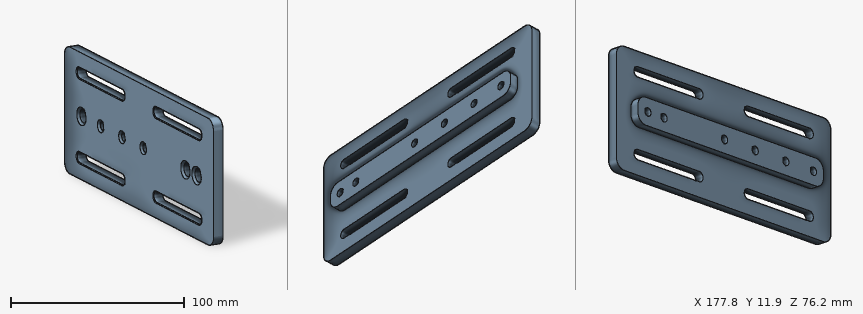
import cadquery as cq

PLATE_LENGTH = 177.8
PLATE_HEIGHT = 76.2
PLATE_THICKNESS = 6.35
CORNER_RADIUS = 6.35

RAIL_LENGTH = 153.67
RAIL_HEIGHT = 17.145
RAIL_THICKNESS = 5.59

SLOT_WIDTH = 6.35
SLOT_LENGTH = 57.15
SLOT_CENTER_X = 45.72
SLOT_CENTER_Z = 25.4
SLOT_CHAMFER = 0.5
CHAMFER_ANGLE = 45

PLAIN_HOLE_DIAMETER = 5.1
PLAIN_HOLE_MOUTH_DIAMETER = 7.6
PLAIN_HOLE_PITCH = 25.4
PLAIN_HOLE_START_X = -45.72
PLAIN_HOLE_COUNT = 3

BORED_HOLE_XS = (-68.58, 55.3, 68.58)
BORED_HOLE_DIAMETER = 5.1
BORE_DIAMETER = 8.2
BORE_MOUTH_DIAMETER = 10.9
BORE_DEPTH = 5.0

TOTAL_THICKNESS = PLATE_THICKNESS + RAIL_THICKNESS
FRONT_Y = -TOTAL_THICKNESS / 2
PLATE_BACK_Y = FRONT_Y + PLATE_THICKNESS


def workplane_at(y):
    """XZ sketch plane at the given Y; positive extrusion runs toward +Y, local y is -Z."""
    return cq.Workplane(cq.Plane(origin=(0, y, 0), xDir=(1, 0, 0), normal=(0, 1, 0)))


def rounded_block(length, height, thickness, start_y):
    """Block with its four corners rounded in the XZ plane."""
    block = workplane_at(start_y).rect(length, height).extrude(thickness)
    return block.edges("|Y").fillet(CORNER_RADIUS)


def cylinder(x, diameter, depth):
    """Centerline cylinder entering from the front face."""
    return workplane_at(FRONT_Y).center(x, 0).circle(diameter / 2).extrude(depth)


def mouth_cone(x, mouth_diameter, hole_diameter):
    """45-degree cone that breaks the front edge of a hole."""
    depth = (mouth_diameter - hole_diameter) / 2
    cone = cq.Solid.makeCone(
        mouth_diameter / 2, hole_diameter / 2, depth, cq.Vector(x, FRONT_Y, 0), cq.Vector(0, 1, 0)
    )
    return cq.Workplane(cone)


def plain_hole(x):
    """Through hole with a chamfered mouth."""
    hole = cylinder(x, PLAIN_HOLE_DIAMETER, TOTAL_THICKNESS)
    return hole.union(mouth_cone(x, PLAIN_HOLE_MOUTH_DIAMETER, PLAIN_HOLE_DIAMETER))


def bored_hole(x):
    """Through hole with a counterbore whose mouth is chamfered."""
    hole = cylinder(x, BORED_HOLE_DIAMETER, TOTAL_THICKNESS)
    hole = hole.union(cylinder(x, BORE_DIAMETER, BORE_DEPTH))
    return hole.union(mouth_cone(x, BORE_MOUTH_DIAMETER, BORE_DIAMETER))


def slot(x, z):
    """Slot through the plate with a chamfered front edge."""
    sketch = workplane_at(FRONT_Y).center(x, -z)
    straight = sketch.slot2D(SLOT_LENGTH, SLOT_WIDTH).extrude(PLATE_THICKNESS)
    mouth_length = SLOT_LENGTH + 2 * SLOT_CHAMFER
    mouth_width = SLOT_WIDTH + 2 * SLOT_CHAMFER
    mouth = sketch.slot2D(mouth_length, mouth_width).extrude(SLOT_CHAMFER, taper=CHAMFER_ANGLE)
    return straight.union(mouth)


plate = rounded_block(PLATE_LENGTH, PLATE_HEIGHT, PLATE_THICKNESS, FRONT_Y)
rail = rounded_block(RAIL_LENGTH, RAIL_HEIGHT, RAIL_THICKNESS, PLATE_BACK_Y)
part = plate.union(rail)

for side_x in (-1, 1):
    for side_z in (-1, 1):
        part = part.cut(slot(side_x * SLOT_CENTER_X, side_z * SLOT_CENTER_Z))

for index in range(PLAIN_HOLE_COUNT):
    part = part.cut(plain_hole(PLAIN_HOLE_START_X + index * PLAIN_HOLE_PITCH))

for hole_x in BORED_HOLE_XS:
    part = part.cut(bored_hole(hole_x))

result = part